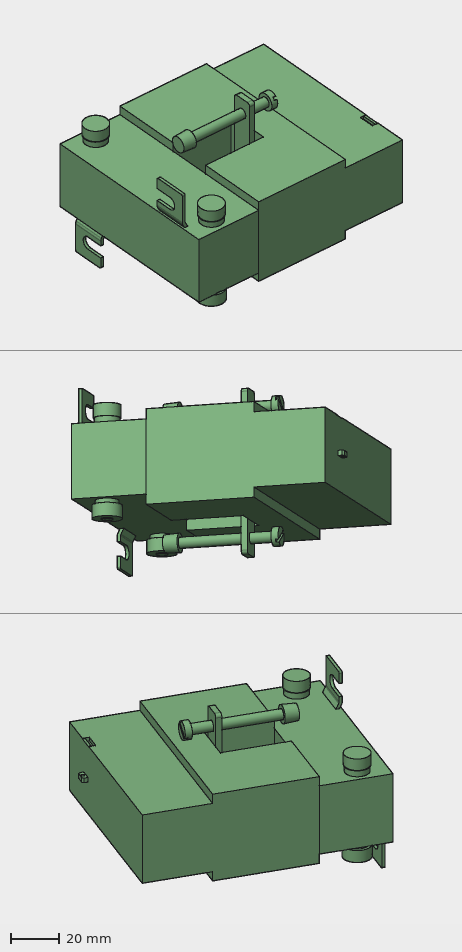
import cadquery as cq
import math


WIDTH = 89.0
BASE_HEIGHT = 31.8
COLLAR_HEIGHT = 40.3
YOKE_DEPTH = 32.3
COLLAR_DEPTH = 46.8
REAR_DEPTH = 30.9
COLLAR_BACK_Y = YOKE_DEPTH + COLLAR_DEPTH
HOUSING_BACK_Y = COLLAR_BACK_Y + REAR_DEPTH
BASE_TOP = BASE_HEIGHT / 2

WINDOW_WIDTH = 21.0
WINDOW_DEPTH = 31.2
WINDOW_BACK_Y = YOKE_DEPTH + WINDOW_DEPTH

RECESS_X = 24.9
RECESS_WIDTH = 7.7
GROOVE_DEPTH = 1.7
GROOVE_LENGTH = 1.8
LEDGE_DROP = 0.2
LEDGE_LENGTH = 1.2

TAB_X = 24.5
TAB_WIDTH = 5.3
TAB_THICKNESS = 2.1
TAB_LENGTH = 2.5
TAB_CHAMFER = 0.8
TAB_HOLE_DIAMETER = 1.4
TAB_HOLE_OFFSET = 1.4

BOLT_SPACING = 74.2
BOLT_Y = 13.1
HEAD_STAGES = [(10.7, 2.9), (11.5, 5.5)]
NUT_STAGES = [(9.9, 2.0), (12.6, 5.6), (5.0, 0.3)]

BRACKET_X = 26.1
BRACKET_WIDTH = 16.2
BRACKET_TOP = 32.9
BRACKET_THICKNESS = 1.5
BRACKET_FRONT_Y = -0.2
BRACKET_CORNER_RADIUS = 0.7
BEND_TOP = 18.9
BEND_ANGLE = 28.0
BEND_OUTER_RADIUS = 2.7
SLOT_WIDTH = 6.1
SLOT_DEPTH = 11.3
SLOT_Z = 24.5

PLATE_WIDTH = 9.7
PLATE_HEIGHT = 70.0
PLATE_THICKNESS = 2.7
PLATE_CORNER_RADIUS = 1.5
PLATE_FRONT_Y = WINDOW_BACK_Y - PLATE_THICKNESS

SCREW_Z = 27.6
SHANK_DIAMETER = 4.7
SCREW_DIAMETER = 8.2
TIP_DIAMETER = 7.4
TIP_FRONT_Y = 26.4
TIP_LENGTH = 6.4
HEAD_LENGTH = 3.2
SCREW_LENGTH = 50.3
DRIVER_SLOT_WIDTH = 1.4
DRIVER_SLOT_DEPTH = 1.4
DRIVER_SLOT_ANGLE = 37.0


def block(width, height, y_start, y_end):
    """Box centred on X and Z, from y_start to y_end."""
    return cq.Workplane("XY").box(width, y_end - y_start, height).translate((0, (y_start + y_end) / 2, 0))


def cylinder_y(diameter, y_start, length, z=0.0):
    """Cylinder along +Y at X = 0."""
    return cq.Workplane("XZ", origin=(0, y_start, z)).circle(diameter / 2).extrude(-length)


def make_terminal_tab():
    root_overlap = 1.1
    tab = (
        block(TAB_WIDTH, TAB_THICKNESS, HOUSING_BACK_Y - root_overlap, HOUSING_BACK_Y + TAB_LENGTH)
        .edges("|Z and >Y")
        .chamfer(TAB_CHAMFER)
    )
    hole = (
        cq.Workplane("XY", origin=(0, HOUSING_BACK_Y + TAB_HOLE_OFFSET, -TAB_THICKNESS))
        .circle(TAB_HOLE_DIAMETER / 2)
        .extrude(2 * TAB_THICKNESS)
    )
    return tab.cut(hole).translate((TAB_X, 0, 0))


def make_rear_recess():
    ledge_y = HOUSING_BACK_Y - LEDGE_LENGTH
    groove = block(RECESS_WIDTH, 2 * GROOVE_DEPTH, ledge_y - GROOVE_LENGTH, ledge_y)
    ledge = block(RECESS_WIDTH, 2 * LEDGE_DROP, ledge_y, HOUSING_BACK_Y)
    return groove.union(ledge).translate((RECESS_X, 0, BASE_TOP))


def make_housing():
    collar = block(WIDTH, COLLAR_HEIGHT, YOKE_DEPTH, COLLAR_BACK_Y)
    rear = block(WIDTH, BASE_HEIGHT, COLLAR_BACK_Y, HOUSING_BACK_Y)
    window = block(WINDOW_WIDTH, COLLAR_HEIGHT, YOKE_DEPTH, WINDOW_BACK_Y)
    return collar.union(rear).cut(window).cut(make_rear_recess()).union(make_terminal_tab())


def make_bolt_end(x, stages, direction):
    """Stepped end of a yoke bolt; direction is 1 above the yoke and -1 below it."""
    z = direction * BASE_TOP
    end = cq.Workplane("XY")
    for diameter, length in stages:
        stage = cq.Workplane("XY", origin=(x, BOLT_Y, z)).circle(diameter / 2).extrude(direction * length)
        end = end.union(stage)
        z += direction * length
    return end


def make_bracket():
    """Bracket above the yoke, bent forward at its root, with a slot open towards -X."""
    bend = math.radians(BEND_ANGLE)
    back_y = BRACKET_FRONT_Y + BRACKET_THICKNESS
    inner_radius = BEND_OUTER_RADIUS - BRACKET_THICKNESS
    centre_y = back_y + inner_radius

    def on_bend(radius, angle):
        return (centre_y - radius * math.cos(angle), BEND_TOP - radius * math.sin(angle))

    def at_yoke(point):
        """Follow the sloping leg from the end of the bend down to the yoke."""
        y, z = point
        return (y + (z - BASE_TOP) * math.tan(bend), BASE_TOP)

    outer_end = on_bend(BEND_OUTER_RADIUS, bend)
    inner_end = on_bend(inner_radius, bend)
    bracket = (
        cq.Workplane("YZ")
        .moveTo(BRACKET_FRONT_Y, BRACKET_TOP)
        .lineTo(BRACKET_FRONT_Y, BEND_TOP)
        .threePointArc(on_bend(BEND_OUTER_RADIUS, bend / 2), outer_end)
        .lineTo(*at_yoke(outer_end))
        .lineTo(*at_yoke(inner_end))
        .lineTo(*inner_end)
        .threePointArc(on_bend(inner_radius, bend / 2), (back_y, BEND_TOP))
        .lineTo(back_y, BRACKET_TOP)
        .close()
        .extrude(BRACKET_WIDTH / 2, both=True)
        .edges("|Y and >Z")
        .fillet(BRACKET_CORNER_RADIUS)
    )
    slot_end_x = SLOT_DEPTH - BRACKET_WIDTH / 2
    slot = (
        cq.Workplane("XZ", origin=(slot_end_x - SLOT_DEPTH, 0, SLOT_Z))
        .slot2D(2 * SLOT_DEPTH, SLOT_WIDTH)
        .extrude(2 * BRACKET_THICKNESS, both=True)
    )
    return bracket.cut(slot).translate((BRACKET_X, 0, 0))


def make_yoke():
    yoke = block(WIDTH, BASE_HEIGHT, 0, YOKE_DEPTH)
    for x in (-BOLT_SPACING / 2, BOLT_SPACING / 2):
        yoke = yoke.union(make_bolt_end(x, HEAD_STAGES, 1)).union(make_bolt_end(x, NUT_STAGES, -1))
    for turn in (0, 180):
        yoke = yoke.union(make_bracket().rotate((0, 0, 0), (0, 1, 0), turn))
    return yoke


def make_plate():
    plate = (
        block(PLATE_WIDTH, PLATE_HEIGHT, PLATE_FRONT_Y, WINDOW_BACK_Y)
        .edges("|Y")
        .fillet(PLATE_CORNER_RADIUS)
    )
    for z in (-SCREW_Z, SCREW_Z):
        plate = plate.cut(cylinder_y(SHANK_DIAMETER, PLATE_FRONT_Y, PLATE_THICKNESS, z))
    return plate


def make_screw(side):
    """Clamp screw above the core (side = 1) or, mirrored, below it (side = -1)."""
    tip_back_y = TIP_FRONT_Y + TIP_LENGTH
    head_back_y = TIP_FRONT_Y + SCREW_LENGTH
    tip = (
        cq.Workplane("XZ", origin=(0, TIP_FRONT_Y, 0))
        .circle(TIP_DIAMETER / 2)
        .workplane(offset=-TIP_LENGTH)
        .circle(SCREW_DIAMETER / 2)
        .loft()
    )
    shank = cylinder_y(SHANK_DIAMETER, tip_back_y, SCREW_LENGTH - TIP_LENGTH)
    head = cylinder_y(SCREW_DIAMETER, head_back_y - HEAD_LENGTH, HEAD_LENGTH)
    driver_slot = block(
        2 * SCREW_DIAMETER, DRIVER_SLOT_WIDTH, head_back_y - DRIVER_SLOT_DEPTH, head_back_y
    ).rotate((0, 0, 0), (0, 1, 0), -side * DRIVER_SLOT_ANGLE)
    return tip.union(shank).union(head).cut(driver_slot).translate((0, 0, side * SCREW_Z))


housing = make_housing()
yoke = make_yoke()
plate = make_plate()
screws = [make_screw(side) for side in (1, -1)]

result = cq.Compound.makeCompound(
    [housing.val(), yoke.val(), plate.val(), *[screw.val() for screw in screws]]
)